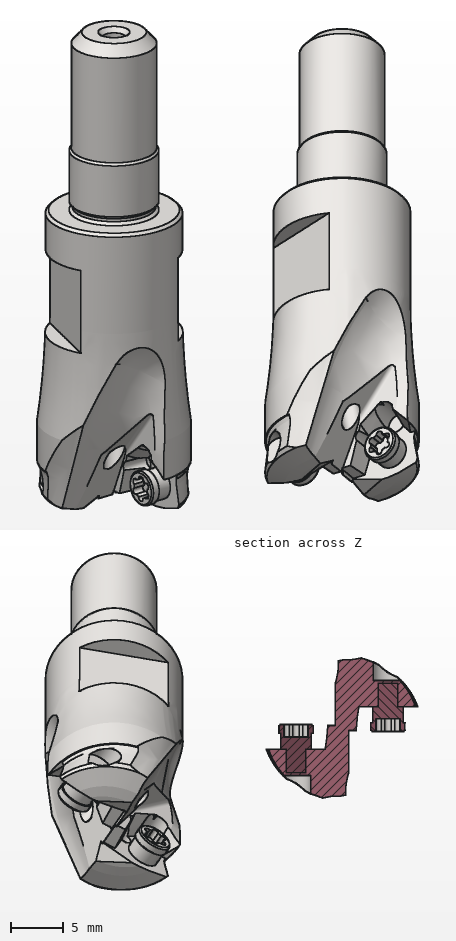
import cadquery as cq
import math

overall_length = 47.4

shank_radius = 4.05
shank_end_radius = 3.05
pilot_radius = 4.25
pilot_step = 0.25
neck_radius = 3.95
shank_chamfer_z = overall_length - 1.1
pilot_top_z = 35.7
pilot_bottom_z = 30.3
neck_top_z = 30.0
shoulder_z = 29.4
neck_flare = 0.3

head_radius = 6.5
shoulder_chamfer = 0.3
flare_top_z = 19.3
flare_bottom_z = 8.1
tip_radius = 7.3
flare_mid_radius = head_radius + (tip_radius - head_radius) / 4
tip_step_z = 4.1

below_tip_z = -2.0
beyond_x = 9.0
outside_y = -9.0

nose_sections = [
    (tip_step_z, 7.2, 7.2),
    (3.6, 7.05, 7.05),
    (3.0, 7.1, 6.95),
    (1.1, 7.5, 6.75),
    (0.7, 7.35, 6.45),
    (0.15, 5.6, 4.6),
    (0.0, 4.7, 3.5),
]

flat_distance = 4.9
flat_bottom_z = 17.05
flat_top_z = 25.4
flat_angle = -20.0

bore_radius = 1.1
bore_mouth_radius = 1.5
bore_mouth_depth = 0.5
bore_bottom_z = 10.0
branch_radius = 1.0
branch_exit = cq.Vector(2.4, -2.0, 4.4)

floor_slope = 0.336
floor_zero_z = 0.93
flute_radius = 6.0
flute_bend_z = 5.0
flute_end_z = 14.2
flute_low_y = -6.0
flute_end_y = -3.6
flute_path_steps = 6

rake_y = -0.25
seat_y = 2.0
rake_corner = (5.8, 10.6)
rake_heel = (2.3, 6.1)
rake_shoulder = (6.64, 9.74)
rake_root_radius = 0.4
pocket_ceiling_z = 4.15
pocket_mouth = [(4.5, 7.0), (2.2, 5.2), (1.1, 1.05)]
pocket_seat = [(4.5, 6.4), (2.3, 4.2), (1.3, 1.05)]
pocket_mouth_flank_x = 7.5
pocket_seat_flank_x = 6.4
corner_relief = (4.7, 5.78, 1.1)
heel_relief = (2.36, 3.96, 0.68)
relief_depth = 0.6

gash_outline = [(-0.5, -0.5), (-0.5, 1.1), (3.2, 0.0), (3.2, -0.5)]
gash_length = 3.0
gash_slope = 0.55

land_y = -6.35
land_bottom_z = 0.0
land_top_z = 10.0
land_bottom_x = -5.0
land_top_x = -0.2

screw_x = 4.35
screw_z = 2.5
screw_top_y = -0.35
screw_head_radius = 1.55
screw_rim_radius = 1.7
screw_rim_height = 0.85
screw_rim_chamfer = 0.15
screw_shank_radius = 1.0
screw_end_y = 4.2
socket_radius = 0.95
socket_lobe_radius = 0.3
socket_lobes = 6
socket_depth = 1.2
access_hole_radius = 1.4
access_hole_drop = 0.3
access_floor_y = 4.5
access_length = 4.0

flute_count = 2


def floor_x(z):
    """X of the flute floor at height z on the +X tooth."""
    return floor_slope * (z - floor_zero_z)


def around(shape):
    """One copy of a +X tooth feature for each flute."""
    step = 360 / flute_count
    return [shape.rotate((0, 0, 0), (0, 0, 1), i * step) for i in range(flute_count)]


def y_prism(points, y_start, y_end):
    """Prism along Y with an outline given as (x, z) points."""
    outline = cq.Workplane("XZ", origin=(0, y_start, 0)).polyline(points).close()
    return outline.extrude(y_start - y_end)


def y_cylinder(x, z, radius, y_start, y_end):
    return cq.Workplane("XZ", origin=(x, y_start, z)).circle(radius).extrude(y_start - y_end)


def turned_blank():
    profile = (
        cq.Workplane("XZ")
        .moveTo(0, tip_step_z)
        .lineTo(tip_radius, tip_step_z)
        .lineTo(tip_radius, flare_bottom_z)
        .threePointArc(
            (flare_mid_radius, (flare_top_z + flare_bottom_z) / 2),
            (head_radius, flare_top_z),
        )
        .lineTo(head_radius, shoulder_z - shoulder_chamfer)
        .lineTo(head_radius - shoulder_chamfer, shoulder_z)
        .lineTo(neck_radius + neck_flare, shoulder_z)
        .lineTo(neck_radius, shoulder_z + neck_flare)
        .lineTo(neck_radius, neck_top_z)
        .lineTo(pilot_radius, pilot_bottom_z)
        .lineTo(pilot_radius, pilot_top_z - pilot_step)
        .lineTo(shank_radius, pilot_top_z)
        .lineTo(shank_radius, shank_chamfer_z)
        .lineTo(shank_end_radius, overall_length)
        .lineTo(0, overall_length)
        .close()
    )
    return profile.revolve(360, (0, 0, 0), (0, 1, 0))


def nose():
    wires = []
    for z, half_x, half_y in nose_sections:
        wires.append(cq.Workplane("XY", origin=(0, 0, z)).ellipse(half_x, half_y).wire().val())
    return cq.Workplane(cq.Solid.makeLoft(wires, True))


def spanner_flat():
    height = flat_top_z - flat_bottom_z
    depth = tip_radius
    block = cq.Workplane("XY").box(2 * tip_radius, depth, height, centered=(True, False, False))
    block = block.translate((0, -flat_distance - depth, flat_bottom_z))
    return block.rotate((0, 0, 0), (0, 0, 1), flat_angle)


def coolant_bore():
    bore = cq.Workplane("XY", origin=(0, 0, bore_bottom_z)).circle(bore_radius)
    bore = bore.extrude(overall_length - bore_bottom_z)
    mouth = cq.Solid.makeCone(
        bore_radius, bore_mouth_radius, bore_mouth_depth,
        cq.Vector(0, 0, overall_length - bore_mouth_depth),
    )
    return bore.union(cq.Workplane(mouth))


def coolant_branch():
    start = cq.Vector(0, 0, bore_bottom_z + bore_radius)
    path = branch_exit - start
    return cq.Workplane(cq.Solid.makeCylinder(branch_radius, path.Length, start, path))


def flute_centre(z):
    """Centre of the flute's round corner: straight up to the bend, then curving across."""
    bend = max(0, (z - flute_bend_z) / (flute_end_z - flute_bend_z))
    return cq.Vector(
        floor_x(z) + flute_radius * math.hypot(1, floor_slope),
        flute_low_y + (flute_end_y - flute_low_y) * bend ** 2,
        z,
    )


def flute():
    """Channel with a leaning flat floor running into a round corner, closed by a ball end."""
    step = (flute_end_z - flute_bend_z) / flute_path_steps
    bend_points = [flute_centre(flute_bend_z + i * step) for i in range(flute_path_steps + 1)]
    start = flute_centre(below_tip_z)
    along = cq.Vector(floor_slope, 0, 1)
    straight = cq.Edge.makeLine(start, bend_points[0])
    bend = cq.Edge.makeSpline(bend_points, tangents=[along, bend_points[-1] - bend_points[-2]])
    path = cq.Workplane(cq.Wire.assembleEdges([straight, bend]))
    section = (
        cq.Workplane(cq.Plane(start, cq.Vector(1, 0, -floor_slope), along))
        .moveTo(flute_radius, 0)
        .threePointArc((0, flute_radius), (-flute_radius, 0))
        .lineTo(-flute_radius, -flute_radius)
        .lineTo(flute_radius, -flute_radius)
        .close()
    )
    ball = cq.Workplane("XY").sphere(flute_radius).translate(bend_points[-1].toTuple())
    return section.sweep(path).union(ball)


def rake_cut():
    outline = [
        rake_corner,
        rake_heel,
        (floor_x(below_tip_z), below_tip_z),
        (beyond_x, below_tip_z),
        (beyond_x, rake_shoulder[1]),
        rake_shoulder,
    ]
    wall_middle = (
        (rake_corner[0] + rake_heel[0]) / 2,
        rake_y,
        (rake_corner[1] + rake_heel[1]) / 2,
    )
    root = cq.selectors.NearestToPointSelector(wall_middle)
    return y_prism(outline, outside_y, rake_y).edges(root).fillet(rake_root_radius)


def insert_pocket():
    """Pocket narrowing from the rake flat to the seat, with round reliefs in two corners."""
    wires = []
    for y, corners, flank_x in (
        (rake_y, pocket_mouth, pocket_mouth_flank_x),
        (seat_y, pocket_seat, pocket_seat_flank_x),
    ):
        foot_z = corners[-1][1]
        outline = [
            *corners,
            (floor_x(foot_z), foot_z),
            (floor_x(below_tip_z), below_tip_z),
            (beyond_x, below_tip_z),
            (beyond_x, pocket_ceiling_z),
            (flank_x, pocket_ceiling_z),
        ]
        plane = cq.Workplane("XZ", origin=(0, y, 0))
        wires.append(plane.polyline(outline).close().wire().val())
    pocket = cq.Workplane(cq.Solid.makeLoft(wires, True))
    for x, z, radius in (corner_relief, heel_relief):
        pocket = pocket.union(y_cylinder(x, z, radius, rake_y, seat_y + relief_depth))
    return pocket


def gash():
    plane = cq.Workplane("XZ", origin=(0, seat_y, 0))
    outline = plane.polyline(gash_outline).close().wire().val()
    fall = cq.Vector(0, gash_length, -gash_slope * gash_length)
    return cq.Workplane(cq.Solid.extrudeLinear(outline, [], fall))


def land_cut():
    """Twisted flat ground on the back of the tooth beside the flute."""
    wires = []
    for z, back_x, back_y in (
        (land_bottom_z, land_bottom_x, land_y),
        (land_top_z, land_top_x, outside_y),
    ):
        front_x = floor_x(z)
        points = [
            (front_x, land_y),
            (back_x, back_y),
            ((back_x + front_x) / 2, 2 * outside_y),
            (front_x, 2 * outside_y),
        ]
        wires.append(cq.Workplane("XY", origin=(0, 0, z)).polyline(points).close().wire().val())
    return cq.Workplane(cq.Solid.makeLoft(wires, True))


def screw_hole():
    access_z = screw_z - access_hole_drop
    access_end_y = access_floor_y + access_length
    access = y_cylinder(screw_x, access_z, access_hole_radius, access_floor_y, access_end_y)
    shank = y_cylinder(screw_x, screw_z, screw_shank_radius, seat_y, screw_end_y)
    return access.union(shank)


def cutter_body():
    body = turned_blank().union(nose()).cut(coolant_bore())
    features = (
        spanner_flat, flute, rake_cut, insert_pocket, gash, land_cut, coolant_branch, screw_hole,
    )
    for feature in features:
        for tool in around(feature()):
            body = body.cut(tool)
    return body


def socket():
    cut = y_cylinder(screw_x, screw_z, socket_radius, screw_top_y, screw_top_y + socket_depth)
    for i in range(socket_lobes):
        angle = math.radians(90 + i * 360 / socket_lobes)
        lobe = y_cylinder(
            screw_x + socket_radius * math.cos(angle),
            screw_z + socket_radius * math.sin(angle),
            socket_lobe_radius, screw_top_y, screw_top_y + socket_depth,
        )
        cut = cut.union(lobe)
    return cut


def clamping_screw():
    rim = y_cylinder(screw_x, screw_z, screw_rim_radius, screw_top_y, screw_top_y + screw_rim_height)
    rim = rim.faces("<Y").chamfer(screw_rim_chamfer)
    head = y_cylinder(screw_x, screw_z, screw_head_radius, screw_top_y + screw_rim_height, seat_y)
    shank = y_cylinder(screw_x, screw_z, screw_shank_radius, seat_y, screw_end_y)
    return rim.union(head).union(shank).cut(socket())


body = cutter_body()
screws = around(clamping_screw())
result = cq.Compound.makeCompound([body.solids().val(), *[screw.val() for screw in screws]])